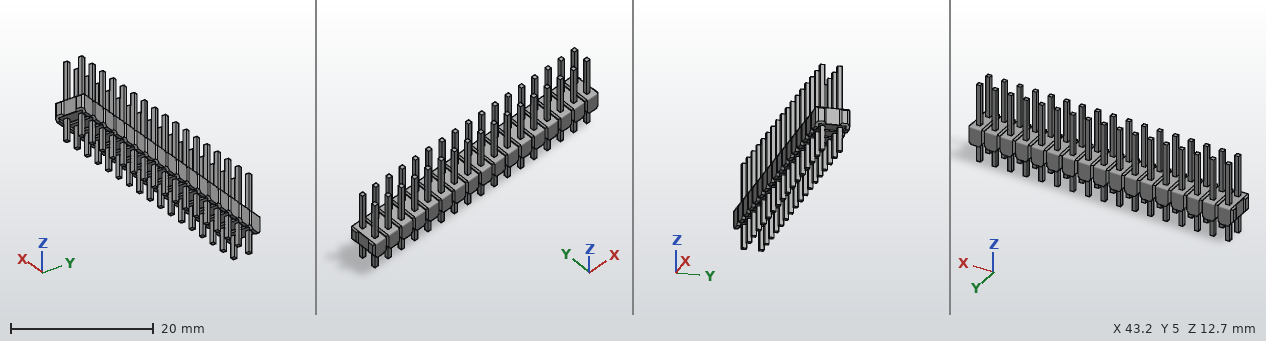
import cadquery as cq


length = 43.2
width = 5.0
columns = 17
pitch = length / columns
column_places = [(column - (columns - 1) / 2) * pitch for column in range(columns)]

pin_side = 0.65
pin_below = 3.1
pin_length = 12.7
row_spacing = pitch

housing_height = 2.9
top_bevel = 0.25
side_bevel = 0.25
long_edge_radius = 0.25
corner_bevel = 0.4
taper_inset = 0.6
taper_height = 0.7

channel_depth = 0.4
foot_width = 0.5

recess_depth = 0.2
recess_width = 2.05
recess_flank = 0.25


def make_segment():
    """One housing segment centred on X and Y, standing on Z = 0."""
    half_x = pitch / 2
    half_y = width / 2
    channel_half = half_y - foot_width

    front_outline = [
        (-half_x + taper_inset, 0),
        (half_x - taper_inset, 0),
        (half_x, taper_height),
        (half_x, housing_height - top_bevel),
        (half_x - side_bevel, housing_height),
        (-half_x + side_bevel, housing_height),
        (-half_x, housing_height - top_bevel),
        (-half_x, taper_height),
    ]
    end_outline = [
        (-half_y, 0),
        (-channel_half, 0),
        (-channel_half, channel_depth),
        (channel_half, channel_depth),
        (channel_half, 0),
        (half_y, 0),
        (half_y, housing_height),
        (-half_y, housing_height),
    ]
    plan_outline = [
        (-half_x + side_bevel, -half_y),
        (half_x - side_bevel, -half_y),
        (half_x, -half_y + corner_bevel),
        (half_x, half_y - corner_bevel),
        (half_x - side_bevel, half_y),
        (-half_x + side_bevel, half_y),
        (-half_x, half_y - corner_bevel),
        (-half_x, -half_y + corner_bevel),
    ]
    across = cq.Workplane("XZ").polyline(front_outline).close().extrude(half_y, both=True)
    along = cq.Workplane("YZ").polyline(end_outline).close().extrude(half_x, both=True)
    along = along.faces(">Z").edges("|X").fillet(long_edge_radius)
    upright = cq.Workplane("XY").polyline(plan_outline).close().extrude(housing_height)
    return across.intersect(along).intersect(upright)


def make_end_recess(end):
    """Cutter for the recess in one end face; end is -1 or 1."""
    outer_x = end * length / 2
    inner_x = end * (length / 2 - recess_depth)
    inner_half = recess_width / 2
    outer_half = inner_half + recess_flank
    outline = [
        (inner_x, -inner_half),
        (outer_x, -outer_half),
        (outer_x, outer_half),
        (inner_x, inner_half),
    ]
    return cq.Workplane("XY").polyline(outline).close().extrude(housing_height)


segment = make_segment()
housing = segment.translate((column_places[0], 0, 0))
for x in column_places[1:]:
    housing = housing.union(segment.translate((x, 0, 0)))
for end in (-1, 1):
    housing = housing.cut(make_end_recess(end))

pin_places = [(x, row * row_spacing / 2) for x in column_places for row in (-1, 1)]
pins = (
    cq.Workplane("XY", origin=(0, 0, -pin_below))
    .pushPoints(pin_places)
    .rect(pin_side, pin_side)
    .extrude(pin_length)
)

result = housing.union(pins)